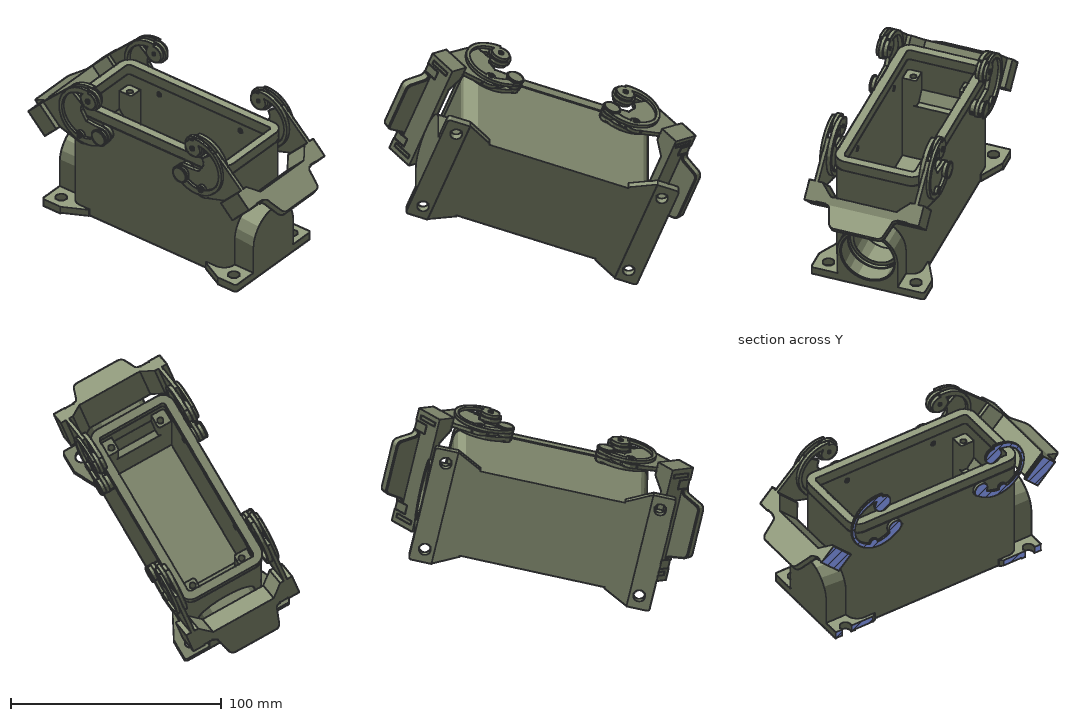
import cadquery as cq
import math

TOTAL_LENGTH = 151.49
TOTAL_WIDTH = 58.0
TOTAL_HEIGHT = 76.94

BODY_LENGTH = 94.6
BODY_WIDTH = 43.6
BODY_CORNER_RADIUS = 6.2
BODY_BOTTOM = 0.45
BODY_TOP = 63.0
RIM_BOTTOM = 57.5
RIM_LENGTH = 94.8
RIM_WIDTH = 44.7
CAVITY_LENGTH = 86.4
CAVITY_WIDTH = 35.8
CAVITY_CORNER_RADIUS = 1.5
CAVITY_STEP = 0.1
FLOOR_TOP = 4.5

POST_LENGTH = 7.4
POST_WIDTH = 7.1
POST_TOP = 51.3
POST_EDGE_RADIUS = 1.2
SCREW_X = 38.8
SCREW_Y = 13.4
SCREW_DIAMETER = 3.0
SCREW_DEPTH = 12.0
LEDGE_TOP = 36.0
LEDGE_FLAT = 3.4
LEDGE_SLOPE_TOP = 41.0

ENTRY_END = 58.6
ENTRY_RADIUS = 15.3
ENTRY_Z = 18.0
BORE_RADIUS = 13.5
BORE_CHAMFER = 0.5
BORE_STOP_RADIUS = 13.0
BORE_STOP_LENGTH = 2.0
BORE_LIP_RADIUS = 11.3

FOOT_HEIGHT = 4.0
FOOT_WIDTH = 57.4
FOOT_PAD_START = 47.5
FOOT_TIP_X = 35.3
FOOT_TIP_THICKNESS = 0.6
FOOT_CORNER_RADIUS = 1.3
FOOT_HOLE_X = 52.2
FOOT_HOLE_Y = 22.2
FOOT_HOLE_DIAMETER = 5.6

INNER_PLATE_Y = 22.35
WEB_INNER_Y = 24.4
WEB_OUTER_Y = 26.3
OUTER_PLATE_Y = 27.8
PIN_HEAD_Y = 28.2
PIN_ROOT_Y = BODY_WIDTH / 2 - 1.0

DISC_RADIUS = 15.5
DISC_X = 33.6
DISC_Z = TOTAL_HEIGHT - DISC_RADIUS
RING_HOLE_RADIUS = 12.4
RING_HOLE_X = 35.0
RING_HOLE_Z = 61.4
HOOK_X = 31.6
HOOK_Z = 71.1
HOOK_RADIUS = 5.55
HOOK_STEP = 1.1
PEG_X = 24.55
PEG_Z = 53.35
PEG_RADIUS = 4.2
PEG_STEP = 0.5
PEG_HEAD_RADIUS = 4.3
PEG_HEAD_Y = 28.3
PEG_HEAD_CHAMFER = 0.5
PEG_HOLE_RADIUS = 1.25
PEG_HOLE_DEPTH = 1.0
PIVOT_X = 36.7
PIVOT_Z = 49.3
PIVOT_BULGE_RADIUS = 2.2
WEB_PIVOT_RADIUS = 5.2
PIN_RADIUS = 1.2
PIN_BORE_RADIUS = 0.85
PIN_BORE_DEPTH = 0.4

BAR_THICKNESS = 9.9
BAR_DEPTH = 14.2
BAR_TOP_X = 59.8
BAR_TOP_Z = 57.95
NOTCH_REMAINING = 4.1
NOTCH_OUTER_Y = 22.4
NOTCH_INNER_Y = 16.6
POCKET_DEPTH = 0.4
WEB_POCKET_TOP = 2.2
WEB_POCKET_BOTTOM = 11.9
SIDE_POCKET_INNER_Y = 18.4
SIDE_POCKET_OUTER_Y = 22.9
SIDE_POCKET_BOTTOM = 7.0
TAB_ANGLE = 34.0
TAB_THICKNESS = 4.2
TAB_EDGE_CHAMFER = 0.5
TAB_ROOT_HALF_WIDTH = 16.4
TAB_TIP_HALF_WIDTH = 13.2
TAB_CORNER_RADIUS = 3.0
TAB_ROOT_OVERLAP = 3.0
TAB_FLARE = 1.8
TAB_FLARE_LENGTH = 1.8

COS45 = math.sqrt(0.5)


def box(x0, x1, y0, y1, z0, z1):
    """Axis-aligned box between two corners."""
    return cq.Workplane("XY").box(x1 - x0, y1 - y0, z1 - z0, centered=False).translate((x0, y0, z0))


def upright_block(length, width, radius, bottom, top):
    """Centred rectangular block with rounded vertical edges."""
    block = cq.Workplane("XY").workplane(offset=bottom).rect(length, width).extrude(top - bottom)
    return block.edges("|Z").fillet(radius)


def xz_polygon(points, y0, y1):
    """Polygon of (x, z) points, extruded from y0 to y1."""
    return cq.Workplane("XZ", origin=(0, y0, 0)).polyline(points).close().extrude(y0 - y1)


def y_cylinder(x, z, radius, y0, y1):
    """Cylinder along Y from y0 to y1."""
    return cq.Workplane("XZ", origin=(x, y0, z)).circle(radius).extrude(y0 - y1)


def x_cylinder(radius, x0, x1):
    """Cylinder along X on the cable entry axis."""
    return cq.Workplane("YZ", origin=(x0, 0, ENTRY_Z)).circle(radius).extrude(x1 - x0)


def with_x_mirror(shape):
    return shape.union(shape.mirror("YZ"))


def with_y_mirror(shape):
    return shape.union(shape.mirror("XZ"))


def make_foot():
    """Two screw lugs at the +X end, each tapering back to the housing side."""
    half_width = FOOT_WIDTH / 2
    tip_y = BODY_WIDTH / 2 + FOOT_TIP_THICKNESS
    pad = box(FOOT_PAD_START, ENTRY_END, 0, half_width, 0, FOOT_HEIGHT)
    pad = pad.edges("|Z and >X and >Y").fillet(FOOT_CORNER_RADIUS)
    brace_points = [
        (FOOT_TIP_X, 0),
        (FOOT_PAD_START, 0),
        (FOOT_PAD_START, half_width),
        (FOOT_TIP_X, tip_y),
    ]
    brace = cq.Workplane("XY").workplane(offset=BODY_BOTTOM).polyline(brace_points).close()
    foot = pad.union(brace.extrude(FOOT_HEIGHT - BODY_BOTTOM))
    hole = cq.Workplane("XY").center(FOOT_HOLE_X, FOOT_HOLE_Y).circle(FOOT_HOLE_DIAMETER / 2)
    return with_y_mirror(foot.cut(hole.extrude(FOOT_HEIGHT)))


def make_entry_boss():
    """Arched boss at the +X end, standing on the foot."""
    start = BODY_LENGTH / 2 - 1.0
    arch = x_cylinder(ENTRY_RADIUS, start, ENTRY_END)
    legs = box(start, ENTRY_END, -ENTRY_RADIUS, ENTRY_RADIUS, BODY_BOTTOM, ENTRY_Z)
    return arch.union(legs)


def make_posts_and_ledge():
    """Screw posts and the sloped ledge between them, at the +X end of the cavity."""
    wall_x = CAVITY_LENGTH / 2
    post_face_x = wall_x - POST_LENGTH
    post_face_y = CAVITY_WIDTH / 2 - POST_WIDTH
    embed = 1.0
    post = box(post_face_x, wall_x + embed, post_face_y, CAVITY_WIDTH / 2 + embed, BODY_BOTTOM, POST_TOP)
    post = post.edges("|Z and <X and <Y").fillet(POST_EDGE_RADIUS)
    hole = cq.Workplane("XY").workplane(offset=POST_TOP).center(SCREW_X, SCREW_Y)
    post = post.cut(hole.circle(SCREW_DIAMETER / 2).extrude(-SCREW_DEPTH))
    ledge_points = [
        (post_face_x, BODY_BOTTOM),
        (wall_x + embed, BODY_BOTTOM),
        (wall_x + embed, LEDGE_SLOPE_TOP),
        (wall_x, LEDGE_SLOPE_TOP),
        (post_face_x + LEDGE_FLAT, LEDGE_TOP),
        (post_face_x, LEDGE_TOP),
    ]
    ledge_half_width = post_face_y + POST_EDGE_RADIUS
    return with_y_mirror(post).union(xz_polygon(ledge_points, -ledge_half_width, ledge_half_width))


def make_bore():
    """Cable entry through the -X end: a chamfered wide bore, a stop step and a lip."""
    lip_x = BODY_LENGTH / 2
    stop_x = lip_x + BORE_STOP_LENGTH
    wide = x_cylinder(BORE_RADIUS, -ENTRY_END, -stop_x)
    wide = wide.faces("<X").workplane().circle(BORE_RADIUS + BORE_CHAMFER).workplane(offset=-BORE_CHAMFER)
    wide = wide.circle(BORE_RADIUS).loft(combine=True)
    ledge_face_x = CAVITY_LENGTH / 2 - POST_LENGTH
    wide = wide.union(x_cylinder(BORE_STOP_RADIUS, -stop_x, -lip_x))
    return wide.union(x_cylinder(BORE_LIP_RADIUS, -lip_x, -ledge_face_x))


def make_cavity():
    """Main cavity, very slightly larger inside the rim."""
    lower_length = CAVITY_LENGTH - 2 * CAVITY_STEP
    lower_width = CAVITY_WIDTH - 2 * CAVITY_STEP
    lower = upright_block(lower_length, lower_width, CAVITY_CORNER_RADIUS, FLOOR_TOP, BODY_TOP)
    upper = upright_block(CAVITY_LENGTH, CAVITY_WIDTH, CAVITY_CORNER_RADIUS, RIM_BOTTOM, BODY_TOP)
    return lower.union(upper)


def make_peg_hole():
    """Shallow blind hole inside the side wall, in line with a lever peg."""
    wall_y = CAVITY_WIDTH / 2
    return y_cylinder(PEG_X, PEG_Z, PEG_HOLE_RADIUS, wall_y - 2 * CAVITY_STEP, wall_y + PEG_HOLE_DEPTH)


def make_housing():
    body = upright_block(BODY_LENGTH, BODY_WIDTH, BODY_CORNER_RADIUS, BODY_BOTTOM, BODY_TOP)
    rim = upright_block(RIM_LENGTH, RIM_WIDTH, BODY_CORNER_RADIUS, RIM_BOTTOM, BODY_TOP)
    ends = with_x_mirror(make_foot().union(make_entry_boss()))
    housing = body.union(rim).union(ends).cut(make_cavity())
    housing = housing.union(with_x_mirror(make_posts_and_ledge())).cut(make_bore())
    return housing.cut(with_x_mirror(with_y_mirror(make_peg_hole())))


def ring_plate(hook_radius, peg_radius, y0, y1):
    """C-shaped side plate running from the hook eye down round to the peg."""
    ring = y_cylinder(DISC_X, DISC_Z, DISC_RADIUS, y0, y1)
    ring = ring.cut(y_cylinder(RING_HOLE_X, RING_HOLE_Z, RING_HOLE_RADIUS, y0, y1))
    opening = [
        (DISC_X, DISC_Z),
        (PEG_X, PEG_Z),
        (PEG_X - DISC_RADIUS, PEG_Z),
        (HOOK_X - DISC_RADIUS, TOTAL_HEIGHT),
        (HOOK_X, TOTAL_HEIGHT),
    ]
    ring = ring.cut(xz_polygon(opening, y0, y1))
    ring = ring.union(y_cylinder(HOOK_X, HOOK_Z, hook_radius, y0, y1))
    ring = ring.union(y_cylinder(PEG_X, PEG_Z, peg_radius, y0, y1))
    return ring.union(y_cylinder(PIVOT_X, PIVOT_Z, PIVOT_BULGE_RADIUS, y0, y1))


def bar_corners():
    """Bar corners (x, z): outer top, inner top, inner bottom, outer bottom."""
    inner_top = (BAR_TOP_X, BAR_TOP_Z)
    across = BAR_THICKNESS * COS45
    down = BAR_DEPTH * COS45
    outer_top = (inner_top[0] + across, inner_top[1] - across)
    inner_bottom = (inner_top[0] - down, inner_top[1] - down)
    outer_bottom = (outer_top[0] - down, outer_top[1] - down)
    return outer_top, inner_top, inner_bottom, outer_bottom


def make_web():
    """Middle layer of the side arm: flat web plus round discs at hook, peg and pivot."""
    _, inner_top, inner_bottom, _ = bar_corners()
    reach_x = BAR_TOP_X - DISC_X
    reach_z = BAR_TOP_Z - DISC_Z
    tangent_angle = math.atan2(reach_z, reach_x) + math.acos(DISC_RADIUS / math.hypot(reach_x, reach_z))
    tangent_point = (
        DISC_X + DISC_RADIUS * math.cos(tangent_angle),
        DISC_Z + DISC_RADIUS * math.sin(tangent_angle),
    )
    outline = [
        tangent_point,
        inner_top,
        inner_bottom,
        (40.5, 45.1),
        (32.1, 45.7),
        (PEG_X, PEG_Z),
        (PEG_X, PEG_Z + PEG_RADIUS),
        (28.3, 57.5),
        (34.0, 58.0),
        (37.0, 62.7),
        (37.0, 64.5),
        (36.3, 66.4),
    ]
    web = xz_polygon(outline, WEB_INNER_Y, WEB_OUTER_Y)
    rounds = (
        (HOOK_X, HOOK_Z, HOOK_RADIUS),
        (PEG_X, PEG_Z, PEG_RADIUS),
        (PIVOT_X, PIVOT_Z, WEB_PIVOT_RADIUS),
    )
    for x, z, radius in rounds:
        web = web.union(y_cylinder(x, z, radius, WEB_INNER_Y, WEB_OUTER_Y))
    return web


def make_pin(x, z, start_y):
    """Round pin with a small blind bore in its head."""
    pin = y_cylinder(x, z, PIN_RADIUS, start_y, PIN_HEAD_Y)
    return pin.cut(y_cylinder(x, z, PIN_BORE_RADIUS, PIN_HEAD_Y - PIN_BORE_DEPTH, PIN_HEAD_Y))


def make_side_arm():
    """Three-layer arm with its peg and pins, on the +Y side."""
    hook_radius = HOOK_RADIUS - HOOK_STEP
    peg_radius = PEG_RADIUS - PEG_STEP
    arm = make_web()
    for y0, y1 in ((INNER_PLATE_Y, WEB_INNER_Y), (WEB_OUTER_Y, OUTER_PLATE_Y)):
        arm = arm.union(ring_plate(hook_radius, peg_radius, y0, y1))
    arm = arm.union(y_cylinder(PEG_X, PEG_Z, peg_radius, PIN_ROOT_Y, PEG_HEAD_Y))
    head = y_cylinder(PEG_X, PEG_Z, PEG_HEAD_RADIUS, PEG_HEAD_Y, TOTAL_WIDTH / 2)
    arm = arm.union(head.faces(">Y").edges().chamfer(PEG_HEAD_CHAMFER))
    arm = arm.union(make_pin(PIVOT_X, PIVOT_Z, PIN_ROOT_Y))
    arm = arm.union(make_pin(HOOK_X, HOOK_Z, WEB_OUTER_Y))
    inner_recess_end = INNER_PLATE_Y + PIN_BORE_DEPTH
    return arm.cut(y_cylinder(HOOK_X, HOOK_Z, PIN_BORE_RADIUS, INNER_PLATE_Y, inner_recess_end))


def make_bar():
    """Cross bar joining both arms, thinned in the middle by a notch with sloped ends."""
    inner_bottom = bar_corners()[2]
    bar = xz_polygon(bar_corners(), -TOTAL_WIDTH / 2, TOTAL_WIDTH / 2)
    plane = cq.Plane(
        origin=(inner_bottom[0], 0, inner_bottom[1]),
        xDir=(0, -1, 0),
        normal=(COS45, 0, COS45),
    )
    depth = BAR_THICKNESS - NOTCH_REMAINING
    notch_points = [
        (-NOTCH_OUTER_Y, 0),
        (NOTCH_OUTER_Y, 0),
        (NOTCH_INNER_Y, depth),
        (-NOTCH_INNER_Y, depth),
    ]
    return bar.cut(cq.Workplane(plane).polyline(notch_points).close().extrude(BAR_DEPTH))


def make_bar_pocket(y0, y1, top, bottom):
    """Shallow pocket in the bar's outer lower face, measured down from its top edge."""
    corner_x, corner_z = bar_corners()[0]
    points = []
    for along, inward in ((top, 0), (bottom, 0), (bottom, POCKET_DEPTH), (top, POCKET_DEPTH)):
        points.append((corner_x - (along + inward) * COS45, corner_z - (along - inward) * COS45))
    return xz_polygon(points, y0, y1)


def make_tab():
    """Tapered thumb tab sloping down and outward from the bar's outer top edge."""
    outer_top = bar_corners()[0]
    angle = math.radians(TAB_ANGLE)
    length = (TOTAL_LENGTH / 2 - outer_top[0]) / math.cos(angle)
    plane = cq.Plane(
        origin=(outer_top[0], 0, outer_top[1]),
        xDir=(math.cos(angle), 0, -math.sin(angle)),
        normal=(math.sin(angle), 0, math.cos(angle)),
    )
    root_y = TAB_ROOT_HALF_WIDTH
    flare_y = root_y + TAB_FLARE
    side_slope = (TAB_ROOT_HALF_WIDTH - TAB_TIP_HALF_WIDTH) / length
    flare_end_y = root_y - side_slope * TAB_FLARE_LENGTH
    bulge = 1 - COS45
    flare_mid = (TAB_FLARE_LENGTH * bulge, flare_end_y + (flare_y - flare_end_y) * bulge)
    tab = (
        cq.Workplane(plane)
        .moveTo(-TAB_ROOT_OVERLAP, 0)
        .lineTo(-TAB_ROOT_OVERLAP, flare_y)
        .lineTo(0, flare_y)
        .threePointArc(flare_mid, (TAB_FLARE_LENGTH, flare_end_y))
        .lineTo(length, TAB_TIP_HALF_WIDTH)
        .lineTo(length, 0)
        .mirrorX()
        .extrude(-TAB_THICKNESS)
    )
    tip_face = cq.selectors.DirectionMinMaxSelector(plane.xDir, True)
    bottom_face = cq.selectors.DirectionMinMaxSelector(plane.zDir, False)
    tab = tab.faces(tip_face).edges("not |Y").fillet(TAB_CORNER_RADIUS)
    return tab.faces(bottom_face).edges().chamfer(TAB_EDGE_CHAMFER)


def make_lever():
    web_pocket = make_bar_pocket(WEB_INNER_Y, WEB_OUTER_Y, WEB_POCKET_TOP, WEB_POCKET_BOTTOM)
    side_pocket = make_bar_pocket(SIDE_POCKET_INNER_Y, SIDE_POCKET_OUTER_Y, 0, SIDE_POCKET_BOTTOM)
    bar = make_bar().cut(with_y_mirror(web_pocket)).cut(with_y_mirror(side_pocket))
    return with_y_mirror(make_side_arm()).union(bar).union(make_tab())


result = make_housing().union(with_x_mirror(make_lever()))